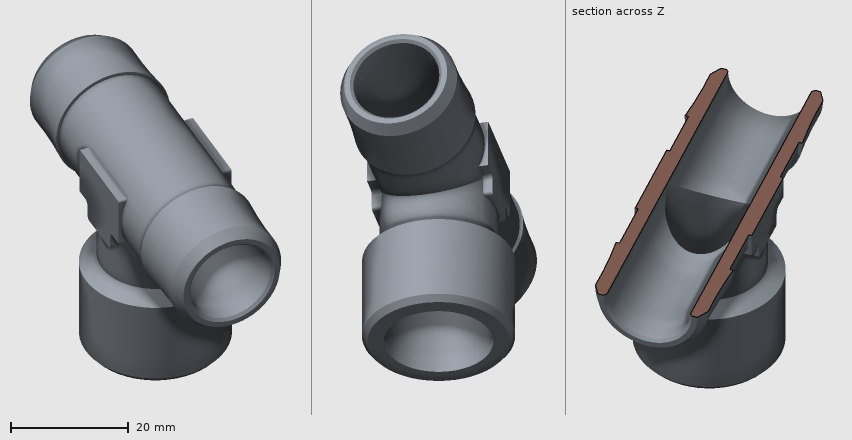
import cadquery as cq
import math

run_length = 62.0
pipe_diameter = 20.0
bore_diameter = 15.0
bore_mouth_chamfer = 0.5

hose_end_length = 13.7
lead_in_length = 2.1
lead_in_angle = 30.0
nose_radius = 10.2
waist_radius = 10.22
barb_radius = 10.62

branch_length = 33.5
socket_diameter = 26.0
socket_bore_diameter = 18.63
socket_bore_depth = 15.0
socket_height = 16.3
socket_cone_height = 1.75
socket_chamfer_height = 1.1
socket_chamfer_width = 0.9

pad_face_offset = 10.55
pad_width = 16.0
pad_stem_width = 9.2
pad_top = 4.6
pad_step = -4.4
pad_bottom = -7.95
pad_top_fillet = 0.4
pad_inner_fillet = 1.0
pad_bottom_fillet = 0.6

pipe_radius = pipe_diameter / 2
bore_radius = bore_diameter / 2
socket_radius = socket_diameter / 2
half_run = run_length / 2


def run_body():
    """Outer body of the run, a half profile revolved about X and mirrored."""
    tip_radius = nose_radius - lead_in_length * math.tan(math.radians(lead_in_angle))
    nose_x = lead_in_length - half_run
    barb_x = hose_end_length - half_run
    waist_x = (nose_x + barb_x) / 2
    half = (
        cq.Workplane("XY")
        .moveTo(-half_run, 0)
        .lineTo(-half_run, tip_radius)
        .lineTo(nose_x, nose_radius)
        .threePointArc((waist_x, waist_radius), (barb_x, barb_radius))
        .lineTo(barb_x, pipe_radius)
        .lineTo(0, pipe_radius)
        .lineTo(0, 0)
        .close()
        .revolve(360, (0, 0, 0), (1, 0, 0))
    )
    return half.union(half.mirror("YZ"))


def branch_body():
    """Outer body of the branch, revolved about Z from the run axis down."""
    shoulder_z = socket_height - branch_length
    return (
        cq.Workplane("XZ")
        .moveTo(0, 0)
        .lineTo(pipe_radius, 0)
        .lineTo(pipe_radius, shoulder_z + socket_cone_height)
        .lineTo(socket_radius, shoulder_z)
        .lineTo(socket_radius, socket_chamfer_height - branch_length)
        .lineTo(socket_radius - socket_chamfer_width, -branch_length)
        .lineTo(0, -branch_length)
        .close()
        .revolve(360, (0, 0, 0), (0, 1, 0))
    )


def round_edge_pair(body, half_spacing, z, radius):
    """Fillet the two Y-direction edges that lie at height z on either side of X = 0."""
    points = [(half_spacing, 0, z), (-half_spacing, 0, z)]
    edges = [body.edges(cq.selectors.NearestToPointSelector(point)).val() for point in points]
    return body.newObject(edges).fillet(radius)


def pads():
    """T-shaped block across the junction; its two ends are the flat pads."""
    depth = 2 * pad_face_offset
    half_width = pad_width / 2
    half_stem = pad_stem_width / 2
    block = (
        cq.Workplane("XZ", origin=(0, pad_face_offset, 0))
        .moveTo(-half_width, pad_top)
        .lineTo(half_width, pad_top)
        .lineTo(half_width, pad_step)
        .lineTo(half_stem, pad_step)
        .lineTo(half_stem, pad_bottom)
        .lineTo(-half_stem, pad_bottom)
        .lineTo(-half_stem, pad_step)
        .lineTo(-half_width, pad_step)
        .close()
        .extrude(depth)
    )

    block = round_edge_pair(block, half_width, pad_top, pad_top_fillet)
    block = round_edge_pair(block, half_stem, pad_step, pad_inner_fillet)
    return round_edge_pair(block, half_stem, pad_bottom, pad_bottom_fillet)


def run_bore():
    """Through bore of the run with a chamfered mouth at both ends."""
    bore = cq.Workplane("YZ").circle(bore_radius).extrude(half_run, both=True)
    mouth = cq.Workplane(
        cq.Solid.makeCone(
            bore_radius + bore_mouth_chamfer,
            bore_radius,
            bore_mouth_chamfer,
            pnt=cq.Vector(-half_run, 0, 0),
            dir=cq.Vector(1, 0, 0),
        )
    )
    return bore.union(mouth).union(mouth.mirror("YZ"))


def branch_bore():
    """Bore from the run down into the wider socket bore."""
    bore = cq.Workplane("XY").circle(bore_radius).extrude(-branch_length)
    socket = (
        cq.Workplane("XY", origin=(0, 0, -branch_length))
        .circle(socket_bore_diameter / 2)
        .extrude(socket_bore_depth)
    )
    return bore.union(socket)


outer_body = run_body().union(branch_body()).union(pads())
result = outer_body.cut(run_bore()).cut(branch_bore())